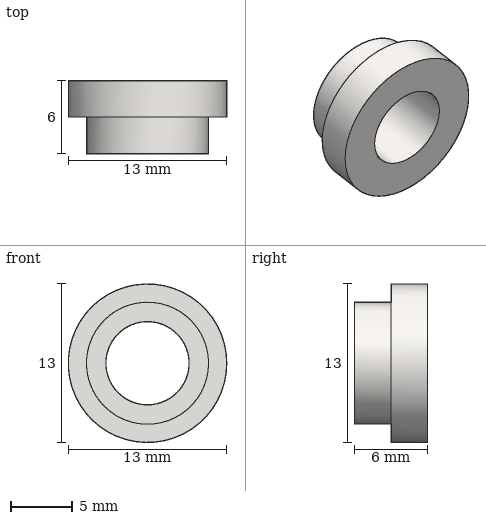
import cadquery as cq

flange_diameter = 13.0
sleeve_diameter = 10.0
bore_diameter = 6.8
total_length = 6.0
flange_length = total_length / 2
sleeve_length = total_length - flange_length


def cylinder_along_y(diameter, length):
    """Cylinder centred on the Y axis, running from the origin towards +Y."""
    return cq.Workplane("XZ").circle(diameter / 2).extrude(-length)


sleeve = cylinder_along_y(sleeve_diameter, sleeve_length)
flange = cylinder_along_y(flange_diameter, flange_length).translate((0, sleeve_length, 0))

bore = cylinder_along_y(bore_diameter, total_length)

result = sleeve.union(flange).cut(bore)